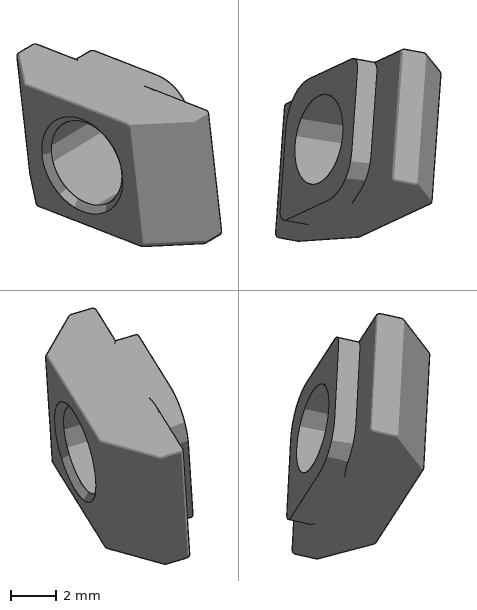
import cadquery as cq
import math

length = 10.74
depth = 4.25
height = 6.0
boss_depth = 1.0
shoulder_depth = 1.25
slant_angle = 7.5
edge_radius = 0.2
boss_width = 5.77
boss_small_radius = 0.5
boss_large_radius = 2.0
hole_diameter = 4.01
countersink_diameter = 4.61

slant = math.radians(slant_angle)
body_depth = depth - boss_depth
bevel = body_depth - shoulder_depth
rounding_loss = edge_radius * (math.tan(slant) + 1 / math.cos(slant) - 1)
lean = height * math.tan(slant)
body_width = length + 2 * rounding_loss - lean
front_y = -depth / 2
body_back_y = front_y + body_depth
shoulder_y = front_y + bevel


def slanted_profile(width):
    """Corners of a parallelogram whose two sides lean by the slant angle."""
    half_width = width / 2
    half_height = height / 2
    half_lean = lean / 2
    return [
        (-half_width - half_lean, half_height),
        (half_width - half_lean, half_height),
        (half_width + half_lean, -half_height),
        (-half_width + half_lean, -half_height),
    ]


def make_body():
    """Bevelled bar swept along the slant, with every outer edge rounded."""
    left = -(body_width + lean) / 2
    right = left + body_width
    outline = [
        (left, body_back_y),
        (right, body_back_y),
        (right, shoulder_y),
        (right - bevel, front_y),
        (left + bevel, front_y),
        (left, shoulder_y),
    ]
    path = cq.Workplane("XZ").moveTo(-lean / 2, height / 2).lineTo(lean / 2, -height / 2)
    body = cq.Workplane("XY", origin=(0, 0, height / 2)).polyline(outline).close().sweep(path)
    return body.edges().fillet(edge_radius)


def make_boss():
    """Slanted boss with small acute corners and large obtuse corners."""
    boss_start_y = body_back_y - edge_radius
    boss_middle_y = boss_start_y + (boss_depth + edge_radius) / 2
    corners = slanted_profile(boss_width / math.cos(slant))
    corner_radii = [boss_small_radius, boss_large_radius] * 2
    boss = (
        cq.Workplane("XZ", origin=(0, boss_start_y, 0))
        .polyline(corners)
        .close()
        .extrude(-(boss_depth + edge_radius))
    )
    for radius, corner in zip(corner_radii, corners):
        edge_middle = (corner[0], boss_middle_y, corner[1])
        boss = boss.edges(cq.NearestToPointSelector(edge_middle)).fillet(radius)
    return boss


def make_hole():
    """Through hole with a 45 degree countersink on the front face."""
    countersink_depth = (countersink_diameter - hole_diameter) / 2
    bore = cq.Workplane("XZ", origin=(0, front_y, 0)).circle(hole_diameter / 2).extrude(-depth)
    countersink = cq.Workplane(
        cq.Solid.makeCone(
            countersink_diameter / 2,
            hole_diameter / 2,
            countersink_depth,
            pnt=cq.Vector(0, front_y, 0),
            dir=cq.Vector(0, 1, 0),
        )
    )
    return bore.union(countersink)


result = make_body().union(make_boss()).cut(make_hole())